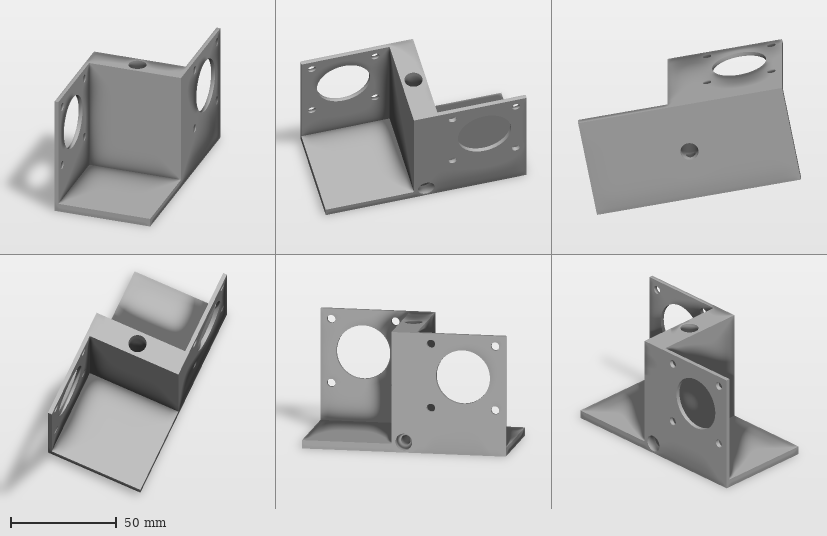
import cadquery as cq

width = 48.0
length = 98.0
height = 58.0

base_thickness = 4.0
block_thickness = 12.0
plate_thickness = 2.0

motor_y = 28.4
motor_z = 37.5
motor_bore_diameter = 26.0
screw_spacing = 30.9
screw_diameter = 4.0

rod_diameter = 8.5
clamp_z = 5.1
clamp_diameter = 4.6
clamp_head_diameter = 8.0
clamp_head_depth = 5.0


def make_body():
    """Base with a Z-shaped wall: a cross block and a plate at each end of it."""
    base = cq.Workplane("XY").box(width, length, base_thickness, centered=(True, True, False))
    block = cq.Workplane("XY").box(width, block_thickness, height, centered=(True, True, False))
    body = base.union(block)
    plate_x = (width - plate_thickness) / 2
    for side in (-1, 1):
        plate = (
            cq.Workplane("XY")
            .center(side * plate_x, side * length / 4)
            .box(plate_thickness, length / 2, height, centered=(True, True, False))
        )
        body = body.union(plate)
    return body


def make_motor_cutter():
    """Motor bores and screw holes of both plates, running along X."""
    left_face = cq.Workplane("YZ", origin=(-width / 2, 0, 0))
    bore_centres = [(-motor_y, motor_z), (motor_y, motor_z)]
    cutter = left_face.pushPoints(bore_centres).circle(motor_bore_diameter / 2).extrude(width)
    for y, z in bore_centres:
        screws = (
            left_face.center(y, z)
            .rect(screw_spacing, screw_spacing, forConstruction=True)
            .vertices()
            .circle(screw_diameter / 2)
            .extrude(width)
        )
        cutter = cutter.union(screws)
    return cutter


def make_rod_bore():
    """Vertical bore through the middle of the block."""
    return cq.Workplane("XY").circle(rod_diameter / 2).extrude(height)


def make_clamp_hole():
    """Counterbored screw hole from the -X face, ending in the rod bore."""
    entry = cq.Workplane("YZ", origin=(-width / 2, 0, clamp_z))
    shank = entry.circle(clamp_diameter / 2).extrude(width / 2)
    head = entry.circle(clamp_head_diameter / 2).extrude(clamp_head_depth)
    return shank.union(head)


result = (
    make_body()
    .cut(make_motor_cutter())
    .cut(make_rod_bore())
    .cut(make_clamp_hole())
)